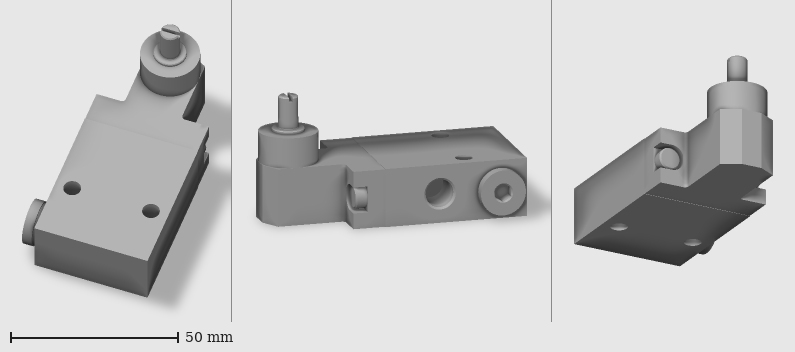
import cadquery as cq
import math

body_width = 35.95
body_length = 44.0
body_height = 18.0
mid_height = body_height / 2

overall_length = 78.0
head_clearance = 0.1
head_width = body_width - 2 * head_clearance
head_height = body_height - 2 * head_clearance
head_top = body_height - head_clearance
shoulder_length = 9.9
shoulder_y = body_length + shoulder_length
neck_width = 18.0
neck_tip_width = 6.6
neck_tip_angle = 30.0
neck_fillet = 1.2
center_x = body_width / 2

collar_diameter = neck_width
collar_height = 9.3
collar_y = overall_length - collar_diameter / 2
washer_diameter = 10.0
washer_height = 0.9
washer_chamfer = 0.2
pin_diameter = 6.0
pin_top_z = 38.1
pin_chamfer = 0.4
pin_foot_diameter = 6.5
pin_slot_width = 1.2
pin_slot_depth = 1.5

pocket_width = 8.0
pocket_depth = 4.5
screw_inset = 4.0
screw_diameter = 7.0
screw_head_length = 3.6
screw_chamfer = 0.5

mount_diameter = 5.3
mount_inset = 5.45
mount_y = 18.0

port_y = 27.0
port_diameter = 8.6
port_mouth_diameter = 9.8
port_depth = 11.7

plug_y = 8.6
plug_projection = 4.5
plug_flange_diameter = 14.0
plug_flange_thickness = 3.05
plug_neck_diameter = 13.0
hex_across_flats = 5.0
hex_depth = 3.9
hex_mouth_diameter = 6.0


def cylinder_z(diameter, height, x, y, z):
    """Upright cylinder starting at height z."""
    return cq.Workplane("XY", origin=(x, y, z)).circle(diameter / 2).extrude(height)


def cylinder_x(diameter, length, x, y):
    """Cylinder at mid height running toward +X from x."""
    return cq.Workplane("YZ", origin=(x, y, mid_height)).circle(diameter / 2).extrude(length)


def make_body():
    body = cq.Workplane("XY").box(body_width, body_length, body_height, centered=False)
    for x in (mount_inset, body_width - mount_inset):
        body = body.cut(cylinder_z(mount_diameter, body_height, x, mount_y, 0))
    return body


def make_head():
    """T-shaped head with a bevelled neck tip and filleted inner corners."""
    tip_drop = (neck_width - neck_tip_width) / 2 * math.tan(math.radians(neck_tip_angle))
    shoulder = cq.Workplane("XY", origin=(head_clearance, body_length, head_clearance)).box(
        head_width, shoulder_length, head_height, centered=False
    )
    neck = (
        cq.Workplane("XY", origin=(center_x, 0, head_clearance))
        .moveTo(-neck_width / 2, body_length)
        .lineTo(neck_width / 2, body_length)
        .lineTo(neck_width / 2, overall_length - tip_drop)
        .lineTo(neck_tip_width / 2, overall_length)
        .lineTo(-neck_tip_width / 2, overall_length)
        .lineTo(-neck_width / 2, overall_length - tip_drop)
        .close()
        .extrude(head_height)
    )
    head = shoulder.union(neck)
    corners = [
        cq.selectors.NearestToPointSelector((center_x + side * neck_width / 2, shoulder_y, mid_height))
        for side in (-1, 1)
    ]
    return head.edges("|Z").edges(corners[0] + corners[1]).fillet(neck_fillet)


def screw_pocket(side):
    """Round-ended pocket, open to the outer side and the far face of a shoulder."""
    x = center_x + side * (center_x - screw_inset)
    floor = cq.Workplane("XZ", origin=(x, shoulder_y, mid_height))
    round_end = floor.circle(pocket_width / 2).extrude(pocket_depth)
    open_run = floor.center(side * screw_inset / 2, 0).rect(screw_inset, pocket_width).extrude(pocket_depth)
    return round_end.union(open_run)


def screw_head(side):
    x = center_x + side * (center_x - screw_inset)
    return (
        cq.Workplane("XZ", origin=(x, shoulder_y - pocket_depth, mid_height))
        .circle(screw_diameter / 2)
        .extrude(-screw_head_length)
        .faces(">Y")
        .chamfer(screw_chamfer)
    )


def make_spindle():
    """Collar, washer and slotted pin, with a small bevelled foot around the pin."""
    washer_z = head_top + collar_height
    washer_top = washer_z + washer_height
    foot_height = (pin_foot_diameter - pin_diameter) / 2
    collar = cylinder_z(collar_diameter, collar_height, center_x, collar_y, head_top)
    washer = cylinder_z(washer_diameter, washer_height, center_x, collar_y, washer_z)
    washer = washer.faces(">Z").chamfer(washer_chamfer)
    pin = cylinder_z(pin_diameter, pin_top_z - washer_top, center_x, collar_y, washer_top)
    foot = cq.Workplane(
        cq.Solid.makeCone(
            pin_foot_diameter / 2, pin_diameter / 2, foot_height, cq.Vector(center_x, collar_y, washer_top)
        )
    )
    pin = pin.faces(">Z").chamfer(pin_chamfer)
    slot = cq.Workplane("XY", origin=(center_x, collar_y, pin_top_z - pin_slot_depth)).box(
        pin_diameter, pin_slot_width, pin_slot_depth, centered=(True, True, False)
    )
    return collar.union(washer).union(foot).union(pin.cut(slot))


def mouth_cone(mouth_diameter, bore_diameter, x, y):
    """45 degree countersink opening toward -X at x."""
    depth = (mouth_diameter - bore_diameter) / 2
    return cq.Workplane(
        cq.Solid.makeCone(
            mouth_diameter / 2, bore_diameter / 2, depth, cq.Vector(x, y, mid_height), cq.Vector(1, 0, 0)
        )
    )


def make_port():
    bore = cylinder_x(port_diameter, port_depth, 0, port_y)
    return bore.union(mouth_cone(port_mouth_diameter, port_diameter, 0, port_y))


def make_plug():
    """Flanged plug with a countersunk hexagon socket, one corner up."""
    neck = cylinder_x(plug_neck_diameter, plug_projection, -plug_projection, plug_y)
    flange = cylinder_x(plug_flange_diameter, plug_flange_thickness, -plug_projection, plug_y)
    hex_corner_diameter = hex_across_flats / math.cos(math.radians(30))
    socket = (
        cq.Workplane("YZ", origin=(-plug_projection, plug_y, mid_height))
        .transformed(rotate=(0, 0, 90))
        .polygon(6, hex_corner_diameter)
        .extrude(hex_depth)
    )
    mouth = mouth_cone(hex_mouth_diameter, hex_across_flats, -plug_projection, plug_y)
    return neck.union(flange).cut(socket).cut(mouth)


head = make_head()
for side in (-1, 1):
    head = head.cut(screw_pocket(side)).union(screw_head(side))

result = make_body().union(head).union(make_spindle()).cut(make_port()).union(make_plug())